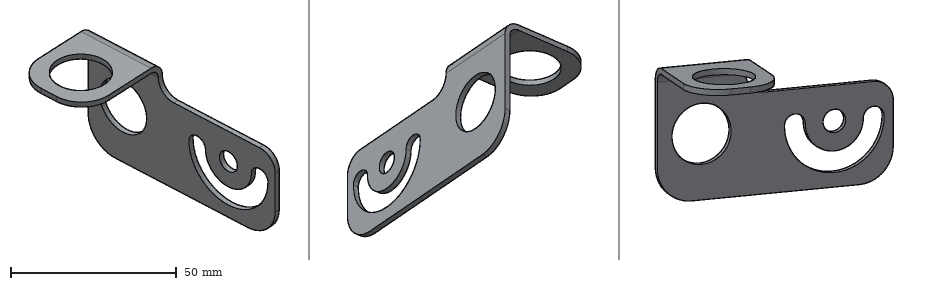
import cadquery as cq

thickness = 1.9
bend_inner_radius = 3.2
bend_outer_radius = bend_inner_radius + thickness

plate_length = 76.2
overall_height = 43.2
flange_depth = 35.2
flange_width = 28.6

plate_height = 31.8
large_corner_radius = 11.1
small_corner_radius = 6.3

large_hole_diameter = 19.05
hole_height = 20.65
flange_hole_setback = flange_depth - flange_width / 2
large_hole_x = flange_width / 2
pivot_x = 57.15
pivot_diameter = 7.25
slot_outer_radius = 16.1
slot_inner_radius = 9.4
slot_middle_radius = (slot_outer_radius + slot_inner_radius) / 2
slot_end_radius = (slot_outer_radius - slot_inner_radius) / 2



def make_bent_profile():
    """Side profile of the flange, bend and upright, as a solid along the full length."""
    inner_top = overall_height - thickness
    return (
        cq.Workplane("YZ")
        .moveTo(0, 0)
        .lineTo(0, overall_height - bend_outer_radius)
        .radiusArc((-bend_outer_radius, overall_height), -bend_outer_radius)
        .lineTo(-flange_depth, overall_height)
        .lineTo(-flange_depth, inner_top)
        .lineTo(-bend_outer_radius, inner_top)
        .radiusArc((-thickness, overall_height - bend_outer_radius), bend_inner_radius)
        .lineTo(-thickness, 0)
        .close()
        .extrude(plate_length)
    )


def make_front_outline():
    """L-shaped outline seen along Y, with rounded corners and step, as a deep block."""
    return (
        cq.Workplane("XZ")
        .moveTo(large_corner_radius, 0)
        .lineTo(plate_length - large_corner_radius, 0)
        .radiusArc((plate_length, large_corner_radius), -large_corner_radius)
        .lineTo(plate_length, plate_height - small_corner_radius)
        .radiusArc((plate_length - small_corner_radius, plate_height), -small_corner_radius)
        .lineTo(flange_width + small_corner_radius, plate_height)
        .radiusArc((flange_width, plate_height + small_corner_radius), small_corner_radius)
        .lineTo(flange_width, overall_height)
        .lineTo(0, overall_height)
        .lineTo(0, large_corner_radius)
        .radiusArc((large_corner_radius, 0), -large_corner_radius)
        .close()
        .extrude(flange_depth)
    )


def make_plate_holes():
    """Cutters for the large hole and the pivot hole in the upright plate."""
    large_hole = (
        cq.Workplane("XZ")
        .center(large_hole_x, hole_height)
        .circle(large_hole_diameter / 2)
        .extrude(thickness)
    )
    pivot_hole = (
        cq.Workplane("XZ")
        .center(pivot_x, hole_height)
        .circle(pivot_diameter / 2)
        .extrude(thickness)
    )
    return large_hole.union(pivot_hole)


def make_arc_slot():
    """Cutter for the half-circle slot below the pivot, with round ends above it."""
    return (
        cq.Workplane("XZ")
        .center(pivot_x, hole_height)
        .moveTo(-slot_outer_radius, 0)
        .threePointArc((0, -slot_outer_radius), (slot_outer_radius, 0))
        .threePointArc((slot_middle_radius, slot_end_radius), (slot_inner_radius, 0))
        .threePointArc((0, -slot_inner_radius), (-slot_inner_radius, 0))
        .threePointArc((-slot_middle_radius, slot_end_radius), (-slot_outer_radius, 0))
        .close()
        .extrude(thickness)
    )


def make_flange_hole():
    """Cutter for the large hole in the top flange."""
    return (
        cq.Workplane("XY", origin=(large_hole_x, -flange_hole_setback, overall_height))
        .circle(large_hole_diameter / 2)
        .extrude(-thickness)
    )


bracket = make_bent_profile().intersect(make_front_outline())
bracket = bracket.edges("|Z and <Y").fillet(large_corner_radius)
result = bracket.cut(make_plate_holes()).cut(make_arc_slot()).cut(make_flange_hole())